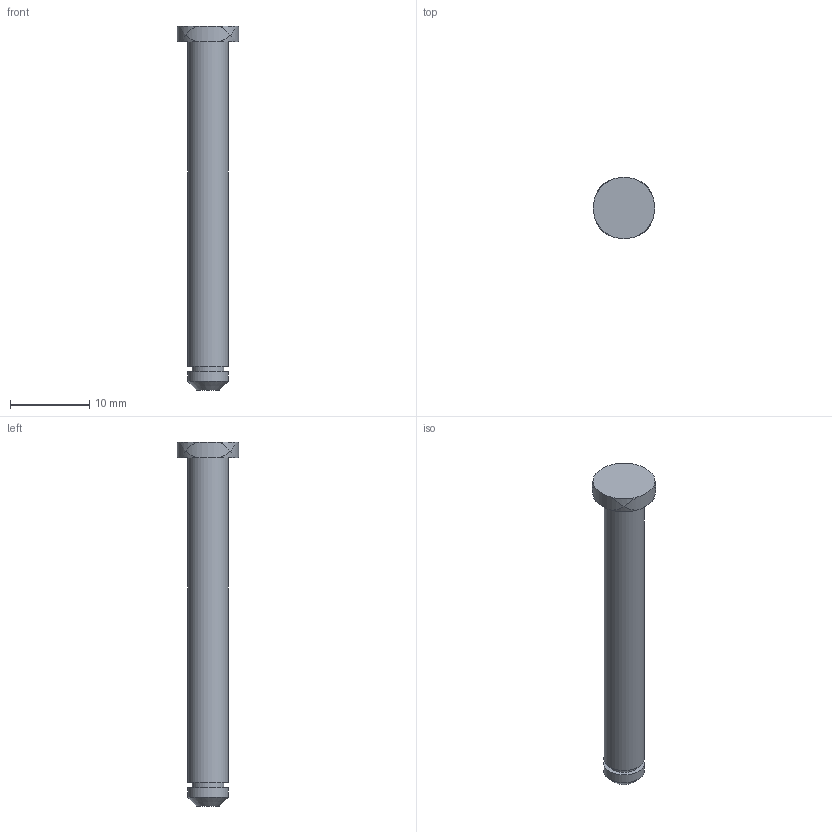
import cadquery as cq
import math

total_length = 46.0
shank_diameter = 5.1

head_width = 7.75
head_height = 2.0
head_corner_diameter = 8.05
head_face_diameter = 7.82
widest_below_top = 1.15

groove_diameter = 4.0
groove_width = 0.7
groove_top = 3.0

tip_chamfer = 1.1

shank_radius = shank_diameter / 2
groove_radius = groove_diameter / 2
groove_bottom = groove_top - groove_width
head_bottom = total_length - head_height
widest_height = total_length - widest_below_top


def revolve_about_axis(outline):
    """Turn a closed (radius, height) outline about the pin axis."""
    return cq.Workplane("XZ").polyline(outline).close().revolve(360, (0, 0), (0, 1))


def make_shank():
    """Shank with the ring groove and the chamfered tip."""
    return revolve_about_axis([
        (0, 0),
        (shank_radius - tip_chamfer, 0),
        (shank_radius, tip_chamfer),
        (shank_radius, groove_bottom),
        (groove_radius, groove_bottom),
        (groove_radius, groove_top),
        (shank_radius, groove_top),
        (shank_radius, head_bottom),
        (0, head_bottom),
    ])


def make_bowed_square():
    """Prism with four bowed sides that meet in corners on the diagonals."""
    middle = head_width / 2
    corner = head_corner_diameter / 2 * math.sqrt(0.5)
    return (
        cq.Workplane("XY", origin=(0, 0, head_bottom))
        .moveTo(corner, corner)
        .threePointArc((0, middle), (-corner, corner))
        .threePointArc((-middle, 0), (-corner, -corner))
        .threePointArc((0, -middle), (corner, -corner))
        .threePointArc((middle, 0), (corner, corner))
        .close()
        .extrude(head_height)
    )


def make_head():
    """Bowed square trimmed by a double cone, widest between its two faces."""
    face_radius = head_face_diameter / 2
    double_cone = revolve_about_axis([
        (0, head_bottom),
        (face_radius, head_bottom),
        (head_corner_diameter / 2, widest_height),
        (face_radius, total_length),
        (0, total_length),
    ])
    return make_bowed_square().intersect(double_cone)


result = make_shank().union(make_head())